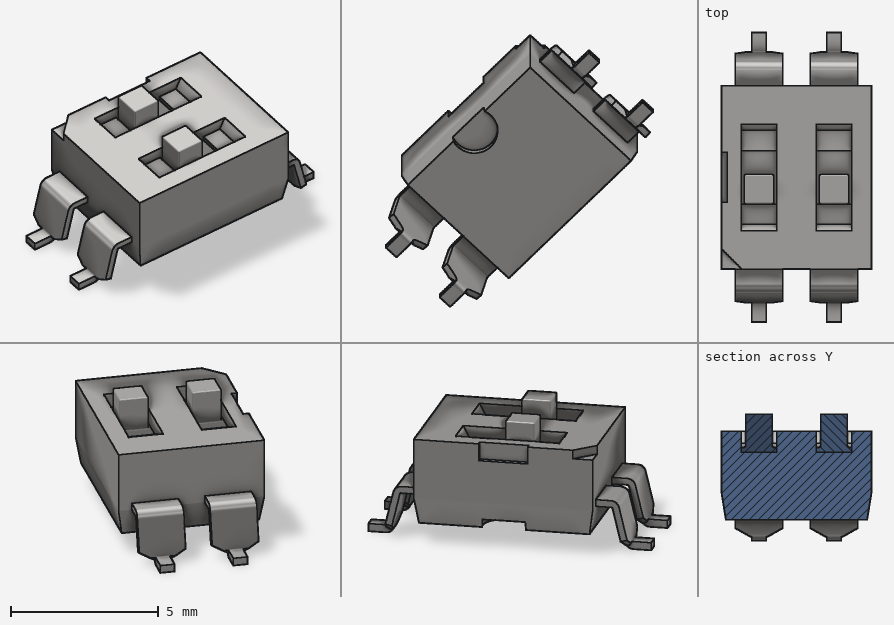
import cadquery as cq
import math

WIDTH = 5.08
LENGTH = 6.2
TOP_Z = 3.7
PARTING_Z = 1.62
BOTTOM_Z = 0.71
BASE_INSET = 0.15
POLE_PITCH = WIDTH / 2

CORNER_LEG = 0.69
CORNER_DEPTH = 0.3
NOTCH_LENGTH = 1.7
NOTCH_WIDTH = 0.2
NOTCH_DEPTH = 0.6

ARCH_RADIUS = 0.79
ARCH_CENTRE_INSET = 0.39
ARCH_DEPTH = 0.29

SLOT_WIDTH = 1.2
SLOT_LENGTH = 3.6
SLOT_DEPTH = 0.4
SLOT_END_RUN = 0.21
POCKET_LENGTH = 1.8
PLATE_DROP = 0.15

PLATE_THICKNESS = 0.15
KNOB_SIZE = 1.0
KNOB_TOP_Z = 4.32
KNOB_FILLET = 0.05
KNOB_FOOT_FILLET = 0.05
SELECT_MARGIN = 0.01

LEAD_SPAN = 9.8
LEAD_WIDTH = 1.62
LEAD_TOP_Z = 1.85
LEAD_THICKNESS = 0.24
SHOULDER_Y = 3.86
SLANT_DEG = 13.5
SHOULDER_RADIUS = 0.6 / 2
INNER_RADIUS = 0.05
HEEL_RADIUS = 0.57 / 2
TAIL_WIDTH = 0.5
TAIL_THICKNESS = 0.27
TAPER_TOP_Z = 0.48
TAPER_DEG = 30

pole_xs = [-POLE_PITCH / 2, POLE_PITCH / 2]
slot_floor_z = TOP_Z - SLOT_DEPTH
plate_top_z = slot_floor_z - PLATE_DROP
pocket_floor_z = plate_top_z - PLATE_THICKNESS

slant_slope = math.tan(math.radians(SLANT_DEG))
leg_depth = LEAD_THICKNESS / math.cos(math.radians(SLANT_DEG))
lead_bottom_z = LEAD_TOP_Z - LEAD_THICKNESS

instep_y = SHOULDER_Y + (LEAD_TOP_Z - TAIL_THICKNESS) * slant_slope
heel_y = SHOULDER_Y + LEAD_TOP_Z * slant_slope - leg_depth
armpit_y = SHOULDER_Y + LEAD_THICKNESS * slant_slope - leg_depth


def block(x_size, y_size, z_low, z_high):
    """Box centred on the Z axis."""
    return cq.Workplane("XY").workplane(offset=z_low).rect(x_size, y_size).extrude(z_high - z_low)


def slot_cutter():
    """Slot with sloping ends and a rectangular pocket in its floor, centred on X = 0."""
    half_top = SLOT_LENGTH / 2
    half_floor = half_top - SLOT_END_RUN
    slot = (
        cq.Workplane("YZ")
        .polyline([
            (-half_top, TOP_Z),
            (half_top, TOP_Z),
            (half_floor, slot_floor_z),
            (-half_floor, slot_floor_z),
        ])
        .close()
        .extrude(SLOT_WIDTH / 2, both=True)
    )
    return slot.union(block(SLOT_WIDTH, POCKET_LENGTH, pocket_floor_z, TOP_Z))


def make_housing():
    """Cover and drafted base as one body, cut by the corner mark, notches and slider slots."""
    cover = block(WIDTH, LENGTH, PARTING_Z, TOP_Z)
    base = (
        cq.Workplane("XY")
        .workplane(offset=PARTING_Z)
        .rect(WIDTH, LENGTH)
        .workplane(offset=BOTTOM_Z - PARTING_Z)
        .rect(WIDTH - 2 * BASE_INSET, LENGTH - 2 * BASE_INSET)
        .loft()
    )
    housing = cover.union(base)

    corner_mark = (
        cq.Workplane("XY", origin=(-WIDTH / 2, -LENGTH / 2, TOP_Z))
        .polyline([(0, 0), (CORNER_LEG, 0), (0, CORNER_LEG)])
        .close()
        .extrude(-CORNER_DEPTH)
    )
    side_notch = block(2 * NOTCH_WIDTH, NOTCH_LENGTH, TOP_Z - NOTCH_DEPTH, TOP_Z)
    side_notch = side_notch.translate((-WIDTH / 2, 0, 0))
    arch = (
        cq.Workplane("XY", origin=(-WIDTH / 2 + ARCH_CENTRE_INSET, 0, BOTTOM_Z))
        .circle(ARCH_RADIUS)
        .extrude(ARCH_DEPTH)
    )
    housing = housing.cut(corner_mark).cut(side_notch).cut(arch)
    for x in pole_xs:
        housing = housing.cut(slot_cutter().translate((x, 0, 0)))
    return housing


def make_slider(x):
    """Plate and rounded knob of the pole at x."""
    knob = (
        block(KNOB_SIZE, KNOB_SIZE, plate_top_z, KNOB_TOP_Z)
        .edges("|Z or >Z")
        .fillet(KNOB_FILLET)
        .translate((0, (KNOB_SIZE - POCKET_LENGTH) / 2, 0))
    )
    plate = block(SLOT_WIDTH, POCKET_LENGTH + KNOB_SIZE, pocket_floor_z, plate_top_z)
    foot_zone = cq.selectors.BoxSelector(
        (-SLOT_WIDTH / 2 + SELECT_MARGIN, -POCKET_LENGTH / 2 - SELECT_MARGIN, plate_top_z - SELECT_MARGIN),
        (SLOT_WIDTH / 2 - SELECT_MARGIN, KNOB_SIZE / 2, plate_top_z + SELECT_MARGIN),
    )
    slider = plate.union(knob).edges(foot_zone).fillet(KNOB_FOOT_FILLET)
    slider = slider.intersect(block(SLOT_WIDTH, POCKET_LENGTH, pocket_floor_z, KNOB_TOP_Z))
    return slider.translate((x, 0, 0))


def lead_strip():
    """Full-width bent strip on the +Y side, centred on X = 0."""
    strip = (
        cq.Workplane("YZ")
        .polyline([
            (LENGTH / 2, LEAD_TOP_Z),
            (SHOULDER_Y, LEAD_TOP_Z),
            (instep_y, TAIL_THICKNESS),
            (LEAD_SPAN / 2, TAIL_THICKNESS),
            (LEAD_SPAN / 2, 0),
            (heel_y, 0),
            (armpit_y, lead_bottom_z),
            (LENGTH / 2, lead_bottom_z),
        ])
        .close()
        .extrude(LEAD_WIDTH / 2, both=True)
    )
    bends = [
        (SHOULDER_Y, LEAD_TOP_Z, SHOULDER_RADIUS),
        (armpit_y, lead_bottom_z, INNER_RADIUS),
        (instep_y, TAIL_THICKNESS, INNER_RADIUS),
        (heel_y, 0, HEEL_RADIUS),
    ]
    for y, z, radius in bends:
        strip = strip.edges(cq.selectors.NearestToPointSelector((0, y, z))).fillet(radius)
    return strip


def leg_taper_cutter():
    """Prism square to the slanted leg that tapers its -X side down to the tail width."""
    shoulder = cq.Plane(
        origin=(0, SHOULDER_Y, LEAD_TOP_Z),
        xDir=(1, 0, 0),
        normal=(0, 1, slant_slope),
    )
    taper_rise = (LEAD_WIDTH - TAIL_WIDTH) / 2 * math.tan(math.radians(TAPER_DEG))
    start = (LEAD_TOP_Z - TAPER_TOP_Z) / math.cos(math.radians(SLANT_DEG))
    end = start + taper_rise
    beyond = 2 * LEAD_TOP_Z
    return (
        cq.Workplane(shoulder)
        .polyline([
            (-LEAD_WIDTH / 2, start),
            (-TAIL_WIDTH / 2, end),
            (-TAIL_WIDTH / 2, beyond),
            (-LEAD_WIDTH, beyond),
            (-LEAD_WIDTH, start),
        ])
        .close()
        .extrude(LEAD_SPAN / 2, both=True)
    )


def tail_side_cutter():
    """Prism that trims the -X side of the tail from the mitre line of the lower bend outwards."""
    mitre_run = instep_y - heel_y
    side_width = (LEAD_WIDTH - TAIL_WIDTH) / 2
    return (
        cq.Workplane("YZ", origin=(-LEAD_WIDTH / 2, 0, 0))
        .polyline([
            (heel_y - mitre_run, -TAIL_THICKNESS),
            (instep_y + mitre_run, 2 * TAIL_THICKNESS),
            (LEAD_SPAN / 2, 2 * TAIL_THICKNESS),
            (LEAD_SPAN / 2, -TAIL_THICKNESS),
        ])
        .close()
        .extrude(side_width)
    )


def make_lead(x, turn):
    """Lead of the pole at x; a turn of 180 degrees puts it on the -Y side."""
    cutter = leg_taper_cutter().union(tail_side_cutter())
    lead = lead_strip().cut(cutter).cut(cutter.mirror("YZ"))
    return lead.rotate((0, 0, 0), (0, 0, 1), turn).translate((x, 0, 0))


housing = make_housing()
sliders = [make_slider(x) for x in pole_xs]
leads = [make_lead(x, turn) for x in pole_xs for turn in (0, 180)]

result = cq.Compound.makeCompound([body.val() for body in [housing, *sliders, *leads]])